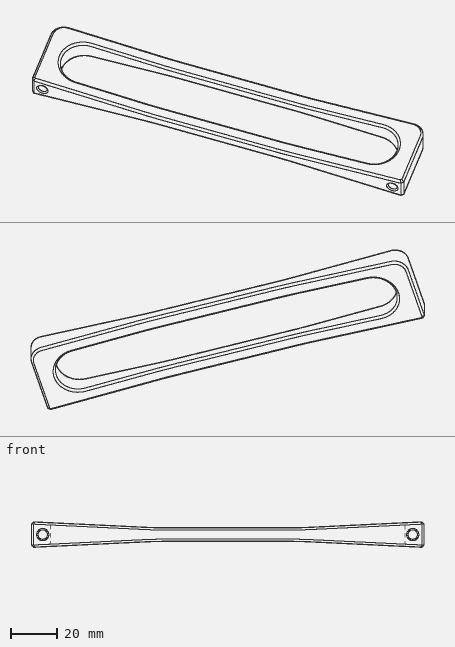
import cadquery as cq
import math

length = 170.0
depth = 32.0
overall_height = 11.0

middle_height = 6.0
middle_length = 62.0
taper_blend_radius = 204.0

corner_radius = 6.1
front_corner_chamfer = 1.0
bar_width = 6.0
end_wall = 8.3
edge_chamfer = 1.0

hole_spacing = 160.1
hole_diameter = 4.0
hole_mouth_diameter = 5.3
hole_depth = 10.2
hole_tip_angle = 118.0

taper_run = (length - middle_length) / 2 - edge_chamfer
taper_angle = math.atan((overall_height - middle_height) / 2 / taper_run)
end_face_height = overall_height + 2 * edge_chamfer * math.tan(taper_angle)

blend_reach = taper_blend_radius * math.tan(taper_angle / 2)

front_y = -depth / 2
window_width = depth - 2 * bar_width
window_length = length - 2 * end_wall
window_straight_length = window_length - window_width


def tapered_bar():
    """Bar whose height shrinks evenly from both ends and blends into the flat middle."""
    half_end = end_face_height / 2
    half_middle = middle_height / 2
    flat_end = middle_length / 2 - blend_reach
    taper_start = middle_length / 2 + blend_reach * math.cos(taper_angle)
    taper_start_z = half_middle + blend_reach * math.sin(taper_angle)
    upper_profile = (
        cq.Workplane("XZ")
        .moveTo(-length / 2, 0)
        .lineTo(-length / 2, half_end)
        .lineTo(-taper_start, taper_start_z)
        .tangentArcPoint((-flat_end, half_middle), relative=False)
        .lineTo(flat_end, half_middle)
        .tangentArcPoint((taper_start, taper_start_z), relative=False)
        .lineTo(length / 2, half_end)
        .lineTo(length / 2, 0)
    )
    return upper_profile.mirrorX().extrude(depth / 2, both=True)


def plan_outline():
    """Plan of the frame: round rear corners and bevelled front corners."""
    block = cq.Workplane("XY").box(length, depth, end_face_height)
    block = block.edges("|Z and >Y").fillet(corner_radius)
    return block.edges("|Z and <Y").chamfer(front_corner_chamfer)


def window():
    """Round-ended opening through the frame."""
    slot = cq.Workplane("XY").slot2D(window_length, window_width)
    return slot.extrude(overall_height, both=True)


def mounting_hole(x):
    """Countersunk blind hole with a drilled tip, entering from the front face."""
    mouth_depth = (hole_mouth_diameter - hole_diameter) / 2
    tip_depth = hole_diameter / 2 / math.tan(math.radians(hole_tip_angle / 2))
    half_profile = [
        (0, 0),
        (hole_mouth_diameter / 2, 0),
        (hole_diameter / 2, mouth_depth),
        (hole_diameter / 2, hole_depth),
        (0, hole_depth + tip_depth),
    ]
    cutter = cq.Workplane("XY").polyline(half_profile).close().revolve(360, (0, 0), (0, 1))
    return cutter.translate((x, front_y, 0))


def is_rim(edge):
    """True for edges around the top and bottom, not corners or seams across the bars."""
    direction = edge.tangentAt(0.5)
    is_upright = abs(direction.z) > 0.5
    runs_across = abs(direction.y) > 0.9
    is_along_straight_bars = abs(edge.Center().x) < window_straight_length / 2
    return not is_upright and not (runs_across and is_along_straight_bars)


def bevel_rims(body):
    """Bevel the outer and window rims of the top and bottom."""
    rims = [edge for edge in body.edges().vals() if is_rim(edge)]
    return body.newObject(rims).chamfer(edge_chamfer)


frame = tapered_bar().intersect(plan_outline()).cut(window())

result = bevel_rims(frame)
for side in (-1, 1):
    result = result.cut(mounting_hole(side * hole_spacing / 2))